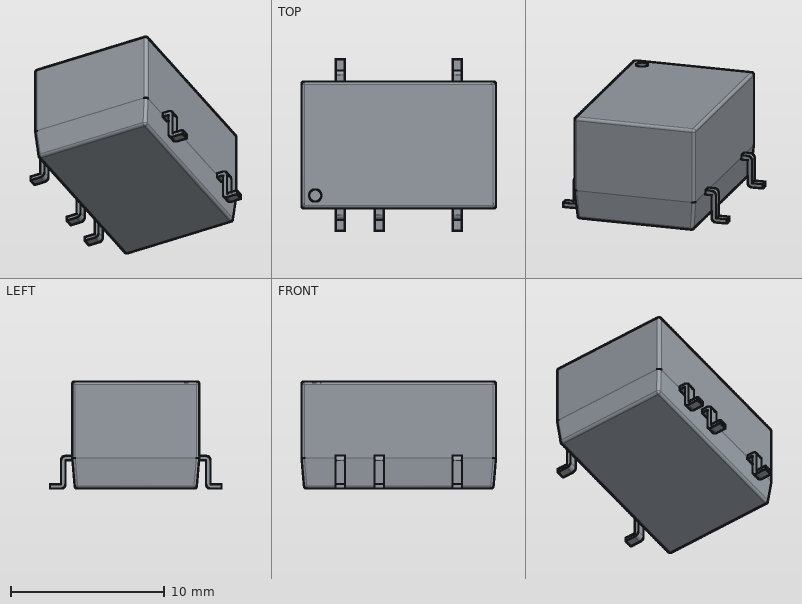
import cadquery as cq
import math

BODY_LENGTH = 12.7
BODY_WIDTH = 8.3
BODY_HEIGHT = 7.0
PARTING_HEIGHT = 2.0
DRAFT_ANGLE = 5.0
EDGE_RADIUS = 0.2

LEAD_SPAN = 11.2
LEAD_WIDTH = 0.6
LEAD_THICKNESS = 0.3
LEAD_BEND_RADIUS = 0.3
LEAD_SHANK_FACE = 4.875
LEAD_EMBED = 0.5
LEAD_PITCH = 2.54
FRONT_LEADS = (-1.5 * LEAD_PITCH, -0.5 * LEAD_PITCH, 1.5 * LEAD_PITCH)
BACK_LEADS = (-1.5 * LEAD_PITCH, 1.5 * LEAD_PITCH)

MARK_DIAMETER = 0.8
MARK_DEPTH = 0.1
MARK_FLOOR_RADIUS = 0.05
MARK_X = -5.445
MARK_Y = -3.29


def make_body():
    """Straight upper and drafted lower part, each rounded on all edges but those at the parting line."""
    upper = (
        cq.Workplane("XY", origin=(0, 0, PARTING_HEIGHT))
        .rect(BODY_LENGTH, BODY_WIDTH)
        .extrude(BODY_HEIGHT - PARTING_HEIGHT)
        .edges("not <Z")
        .fillet(EDGE_RADIUS)
    )
    lower = (
        cq.Workplane("XY", origin=(0, 0, PARTING_HEIGHT))
        .rect(BODY_LENGTH, BODY_WIDTH)
        .extrude(-PARTING_HEIGHT, taper=DRAFT_ANGLE)
        .edges("not >Z")
        .fillet(EDGE_RADIUS)
    )
    return upper.union(lower)


def make_lead(x, side):
    """Lead at position x; side is -1 for the front row and +1 for the back row."""
    root = BODY_WIDTH / 2 - LEAD_EMBED
    tip = LEAD_SPAN / 2
    shank_outer = LEAD_SHANK_FACE
    shank_inner = shank_outer - LEAD_THICKNESS
    shoulder_top = PARTING_HEIGHT + LEAD_THICKNESS / 2
    shoulder_bottom = shoulder_top - LEAD_THICKNESS
    bend_mid = LEAD_BEND_RADIUS * (1 - math.sqrt(0.5))

    lead = (
        cq.Workplane("YZ", origin=(x - LEAD_WIDTH / 2, 0, 0))
        .moveTo(side * root, shoulder_bottom)
        .lineTo(side * shank_inner, shoulder_bottom)
        .lineTo(side * shank_inner, LEAD_BEND_RADIUS)
        .threePointArc(
            (side * (shank_inner + bend_mid), bend_mid),
            (side * (shank_inner + LEAD_BEND_RADIUS), 0),
        )
        .lineTo(side * tip, 0)
        .lineTo(side * tip, LEAD_THICKNESS)
        .lineTo(side * shank_outer, LEAD_THICKNESS)
        .lineTo(side * shank_outer, shoulder_top - LEAD_BEND_RADIUS)
        .threePointArc(
            (side * (shank_outer - bend_mid), shoulder_top - bend_mid),
            (side * (shank_outer - LEAD_BEND_RADIUS), shoulder_top),
        )
        .lineTo(side * root, shoulder_top)
        .close()
        .extrude(LEAD_WIDTH)
    )
    return lead


def make_pin_mark():
    """Cutter for the pin 1 recess."""
    return (
        cq.Workplane("XY", origin=(MARK_X, MARK_Y, BODY_HEIGHT))
        .circle(MARK_DIAMETER / 2)
        .extrude(-MARK_DEPTH)
        .edges("<Z")
        .fillet(MARK_FLOOR_RADIUS)
    )


result = make_body().cut(make_pin_mark())
for lead_x in FRONT_LEADS:
    result = result.union(make_lead(lead_x, -1))
for lead_x in BACK_LEADS:
    result = result.union(make_lead(lead_x, 1))